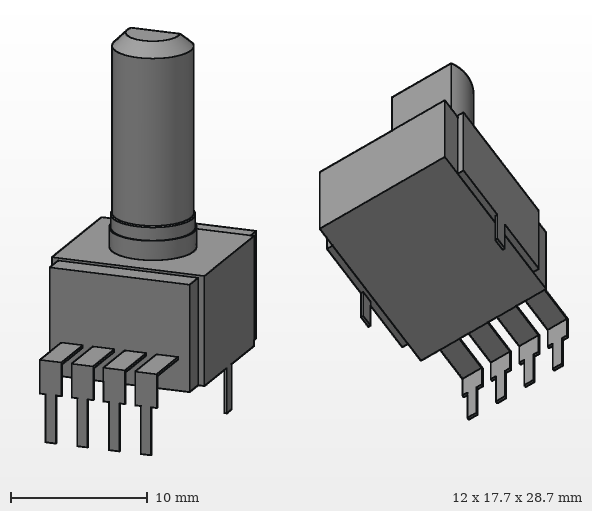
import cadquery as cq


cover_width = 12.0
cover_depth = 10.0
cover_height = 8.5
cover_top_thickness = 0.2
tab_thickness = 0.2
tab_width = 1.0
tab_length = 3.5

base_width = 11.0
base_depth = 13.4
base_height = cover_height - cover_top_thickness
base_bottom = 3.7
cover_top = base_bottom + cover_height

shoulder_diameter = 6.4
shoulder_height = 1.5
collar_diameter = 6.2
collar_height = 1.0
shaft_diameter = 6.0
shaft_height = 14.0
shaft_tip_chamfer = 1.0
flat_offset = 1.5
flat_length = 12.0
collar_bevel = (collar_diameter - shaft_diameter) / 2
shaft_tip = cover_top + shoulder_height + collar_height + shaft_height

terminal_count = 4
terminal_pitch = 2.5
terminal_thickness = 0.2
terminal_width = 1.7
terminal_pin_width = 0.8
terminal_reach = 4.3
terminal_height_on_base = 2.6
terminal_top = base_bottom + terminal_height_on_base


def make_base():
    """Plain resin block, longer than the cover at the front and back."""
    return (
        cq.Workplane("XY")
        .workplane(offset=base_bottom)
        .rect(base_width, base_depth)
        .extrude(base_height)
    )


def make_cover():
    """Inverted U straddling the base, with a mounting tab below each side wall."""
    cover = (
        cq.Workplane("XY")
        .workplane(offset=base_bottom)
        .rect(cover_width, cover_depth)
        .extrude(cover_height)
        .cut(make_base())
    )
    tab_center_x = (cover_width - tab_thickness) / 2
    tabs = (
        cq.Workplane("XY")
        .workplane(offset=base_bottom)
        .pushPoints([(-tab_center_x, 0), (tab_center_x, 0)])
        .rect(tab_thickness, tab_width)
        .extrude(-tab_length)
    )
    return cover.union(tabs)


def make_shaft():
    """Stepped shaft standing on the cover, with a flat on its +Y side and a chamfered tip."""
    shoulder_top = cover_top + shoulder_height
    collar_top = shoulder_top + collar_height
    turned_shaft = (
        cq.Workplane("YZ")
        .moveTo(0, cover_top)
        .lineTo(shoulder_diameter / 2, cover_top)
        .lineTo(shoulder_diameter / 2, shoulder_top)
        .lineTo(collar_diameter / 2, shoulder_top)
        .lineTo(collar_diameter / 2, collar_top)
        .lineTo(shaft_diameter / 2, collar_top + collar_bevel)
        .lineTo(shaft_diameter / 2, shaft_tip)
        .lineTo(0, shaft_tip)
        .close()
        .revolve(360, (0, 0, 0), (0, 1, 0))
    )
    flat_depth = shaft_diameter / 2 - flat_offset
    flat_cut = (
        cq.Workplane("XY")
        .workplane(offset=shaft_tip - flat_length)
        .center(0, flat_offset + flat_depth / 2)
        .rect(shaft_diameter, flat_depth)
        .extrude(flat_length)
    )
    return turned_shaft.cut(flat_cut).faces(">Z").chamfer(shaft_tip_chamfer)


def make_terminal(center_x):
    """Right-angle strip from the base front, narrowed to a pin below the base."""
    base_front = -base_depth / 2
    outer_face = base_front - terminal_reach
    inner_face = outer_face + terminal_thickness
    strip = (
        cq.Workplane("YZ")
        .workplane(offset=center_x)
        .moveTo(base_front, terminal_top)
        .lineTo(outer_face, terminal_top)
        .lineTo(outer_face, base_bottom)
        .lineTo(inner_face, base_bottom)
        .lineTo(inner_face, terminal_top - terminal_thickness)
        .lineTo(base_front, terminal_top - terminal_thickness)
        .close()
        .extrude(terminal_width / 2, both=True)
    )
    pin = (
        cq.Workplane("XY")
        .center(center_x, (outer_face + inner_face) / 2)
        .rect(terminal_pin_width, terminal_thickness)
        .extrude(base_bottom)
    )
    return strip.union(pin)


base = make_base()
cover = make_cover()
shaft = make_shaft()

terminals = []
for index in range(terminal_count):
    center_x = (index - (terminal_count - 1) / 2) * terminal_pitch
    terminals.append(make_terminal(center_x).val())

result = cq.Compound.makeCompound([base.val(), cover.val(), shaft.val(), *terminals])